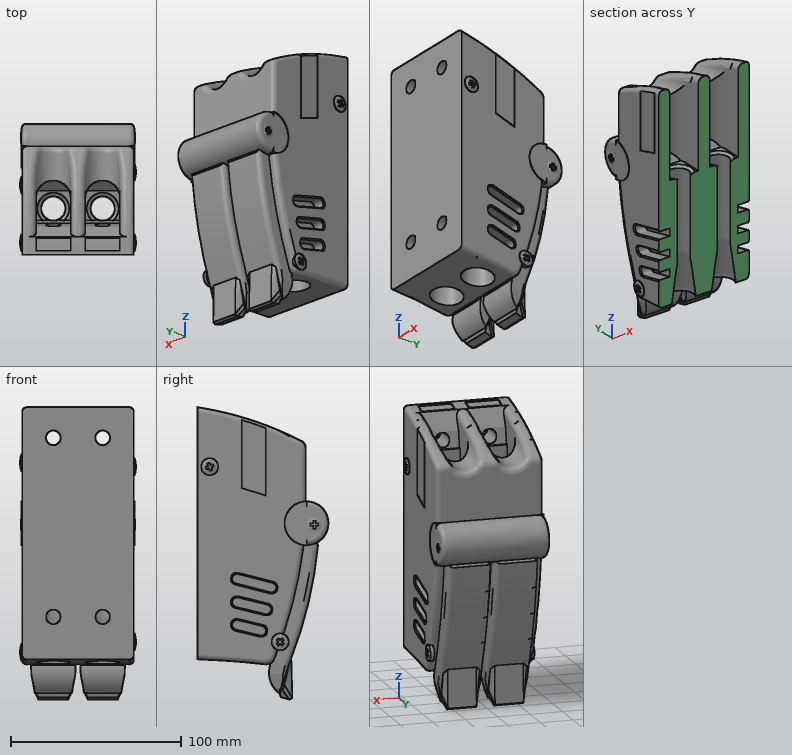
import cadquery as cq
import math

HALF_WIDTH = 32.9
HEIGHT = 148.3
OVERALL_HEIGHT = 171.91
TOP_FLAT_END = (5.0, 147.4)
TOP_ARC_MID = (34.0, 139.9)
TOP_FRONT = (63.7, 127.0)
BOSS_CENTRE = (64.12, 80.0)
FRONT_ARC_MID = (54.2, 26.7)
BOTTOM_FRONT = (43.6, -3.4)
BOTTOM_ARC_MID = (20.0, -1.1)
TOP_CORNER_RADIUS = 5.0
BOTTOM_CORNER_RADIUS = 5.0
SIDE_ROUND = 2.9

BOSS_RADIUS = 12.9
BOSS_HALF_WIDTH = HALF_WIDTH + 0.3
BOSS_ROUND = 2.8

LANE_X = 14.5
LANE_WIDTH = 20.3
LANE_RIM_ROUND = 3.8
POCKET_FLOOR = 82.0
POCKET_BACK = 20.3
POCKET_ROUND_Y = 33.5
FLOOR_FRONT = 37.8
RAMP_START = 125.0
RAMP_FOOT_Y = 18.6
RAMP_KNEE = (16.6, 135.0)
RAMP_TOP_Y = 9.7
TROUGH_FALL = 5.0
TROUGH_MOUTH = (62.0, 122.3)
BORE_Y = 27.2
BORE_DIAMETER = 14.1
BORE_MOUTH = 18.7
BORE_MOUTH_DEPTH = 1.2
BORE_EXIT = 20.0
FLARE_START = 25.0
LABEL_REAR = 2.4
LABEL_FRONT = 9.7
LABEL_DEPTH = 0.3

MOUNT_DIAMETER = 8.5
MOUNT_LOW = FLARE_START
MOUNT_HIGH = 130.2

LEVER_HALF_WIDTH = 13.3
LEVER_TIP_Z = HEIGHT - OVERALL_HEIGHT
LEVER_TOP = (70.9, 67.0)
LEVER_MID = (65.0, 32.0)
LEVER_KNEE = (55.2, 1.0)
LEVER_BLADE_END = (48.3, -20.0)
LEVER_BELLY = (43.9, -15.2)
LEVER_HEEL = (42.6, -3.5)
LEVER_ROOT = (37.0, 6.0)
LEVER_TAPER = [(13.0, -8.7), (11.6, -16.0), (10.2, LEVER_TIP_Z)]
GRIP_HALF_WIDTH = 8.8
GRIP_SIDE_HALF_WIDTH = 11.3
GRIP_INNER = [(46.0, -12.0), (51.0, 3.0)]
GRIP_MIDDLE = [(55.2, 1.0), (55.8, -22.6), (54.0, LEVER_TIP_Z), (48.9, -22.2)] + GRIP_INNER
GRIP_SIDE = [(54.6, 0.0), (51.0, -15.0), (50.0, -18.0), (48.5, -18.5)] + GRIP_INNER
LEVER_ROUND = 3.0

SCREW_DIAMETER = 10.0
SCREW_CROWN = 34.15
SCREW_RIM_DROP = 0.9
SCREW_SEAT = 2.0
CROSS_LENGTH = 4.6
CROSS_WIDTH = 1.5
CROSS_DEPTH = 1.2
PIVOT_SCREW = (68.7, 79.2)
PIVOT_SCREW_CROWN = BOSS_HALF_WIDTH + 0.6
LOW_SCREW_TURN = 45
HIGH_SCREW_TURN = 20
LEFT_SCREWS = [((7.2, 115.5), HIGH_SCREW_TURN), ((41.0, 4.2), LOW_SCREW_TURN)]
RIGHT_SCREWS = [((7.2, 113.2), HIGH_SCREW_TURN), ((48.6, 10.3), LOW_SCREW_TURN)]
SLOTS = [
    ((43.5, 42.2), (23.2, 47.4)),
    ((40.5, 29.4), (23.2, 33.6)),
    ((37.5, 16.8), (23.2, 20.3)),
]
SLOT_RIM_WIDTH = 7.2
SLOT_WIDTH = 5.6
SLOT_DEPTH = 8.0
PANEL_REAR = (25.9, 100.7)
PANEL_FRONT = (40.1, 96.3)
PANEL_DEPTH = 0.25


def side_plane(x):
    """Sketch plane with local (x, y) = (Y, Z) and the normal along +X."""
    return cq.Workplane("YZ", origin=(x, 0, 0))


def housing():
    profile = (
        side_plane(-HALF_WIDTH)
        .moveTo(0, 0)
        .lineTo(0, HEIGHT)
        .lineTo(*TOP_FLAT_END)
        .threePointArc(TOP_ARC_MID, TOP_FRONT)
        .lineTo(TOP_FRONT[0], BOSS_CENTRE[1])
        .threePointArc(FRONT_ARC_MID, BOTTOM_FRONT)
        .threePointArc(BOTTOM_ARC_MID, (0, 0))
        .close()
        .extrude(2 * HALF_WIDTH)
    )
    top_corner = cq.selectors.NearestToPointSelector((0, *TOP_FRONT))
    bottom_corner = cq.selectors.NearestToPointSelector((0, *BOTTOM_FRONT))
    profile = profile.edges(top_corner).fillet(TOP_CORNER_RADIUS)
    profile = profile.edges(bottom_corner).fillet(BOTTOM_CORNER_RADIUS)
    rims = profile.faces("<X or >X").edges().filter(lambda e: e.Center().y > 0.1)
    return rims.fillet(SIDE_ROUND)


def pivot_boss():
    """Cross bar with rounded ends; its half inside the housing outline keeps a sharp rim."""
    bar = side_plane(-BOSS_HALF_WIDTH).center(*BOSS_CENTRE).circle(BOSS_RADIUS)
    bar = bar.extrude(2 * BOSS_HALF_WIDTH)
    rear_half = bar.intersect(
        cq.Workplane("XY")
        .box(4 * HALF_WIDTH, BOSS_RADIUS, 4 * BOSS_RADIUS)
        .translate((0, BOSS_CENTRE[0] - BOSS_RADIUS / 2, BOSS_CENTRE[1]))
    )
    return bar.faces("<X or >X").edges().fillet(BOSS_ROUND).union(rear_half)


def rope_pocket(x):
    """Pocket above the bore: half-round in front, with a ramp towards the mounting face."""
    radius = LANE_WIDTH / 2
    reach = POCKET_ROUND_Y + LANE_WIDTH
    side = (
        side_plane(x - radius)
        .moveTo(POCKET_BACK, POCKET_FLOOR)
        .lineTo(POCKET_BACK, RAMP_START)
        .lineTo(RAMP_FOOT_Y, RAMP_START)
        .lineTo(*RAMP_KNEE)
        .lineTo(RAMP_TOP_Y, HEIGHT)
        .lineTo(reach, HEIGHT)
        .lineTo(reach, POCKET_FLOOR + reach - FLOOR_FRONT)
        .lineTo(FLOOR_FRONT, POCKET_FLOOR)
        .close()
        .extrude(LANE_WIDTH)
    )
    plan = (
        cq.Workplane("XY", origin=(x, POCKET_ROUND_Y, 0))
        .moveTo(-radius, 0)
        .threePointArc((0, radius), (radius, 0))
        .lineTo(radius, -POCKET_ROUND_Y)
        .lineTo(-radius, -POCKET_ROUND_Y)
        .close()
        .extrude(HEIGHT)
    )
    return side.intersect(plan)


def rope_trough(x):
    """U-shaped trough that falls from the pocket to the front face."""
    radius = LANE_WIDTH / 2
    fall = math.radians(TROUGH_FALL)
    axis = (0, math.cos(fall), -math.sin(fall))
    section = cq.Workplane(cq.Plane((x, *TROUGH_MOUTH), (-1, 0, 0), axis))
    trough = (
        section.moveTo(-radius, radius)
        .threePointArc((0, 0), (radius, radius))
        .lineTo(radius, HEIGHT)
        .lineTo(-radius, HEIGHT)
        .close()
        .extrude(HALF_WIDTH, both=True)
    )
    front = cq.Workplane("XY").box(HEIGHT, HEIGHT, HEIGHT, centered=(True, False, True))
    return trough.intersect(front.translate((x, POCKET_ROUND_Y, HEIGHT)))


def is_lane_rim(edge):
    """True for the outer edges of the lanes, except the one at the top of the ramp."""
    box = edge.BoundingBox()
    inside = abs(edge.Center().x) < LANE_X + LANE_WIDTH / 2 + 0.1
    beyond_lip = box.ymax > POCKET_ROUND_Y + LANE_WIDTH / 2 + 0.5
    return inside and beyond_lip and edge.geomType() != "LINE" and box.zmax > TROUGH_MOUTH[1]


def rope_bore(x):
    """Round bore from the pocket floor to the flared exit underneath."""
    radius = BORE_DIAMETER / 2
    return (
        cq.Workplane("XZ", origin=(x, BORE_Y, 0))
        .moveTo(0, POCKET_FLOOR)
        .lineTo(BORE_MOUTH / 2, POCKET_FLOOR)
        .lineTo(radius, POCKET_FLOOR - BORE_MOUTH_DEPTH)
        .lineTo(radius, FLARE_START)
        .lineTo(BORE_EXIT / 2, 0)
        .lineTo(BORE_EXIT / 2, BOTTOM_FRONT[1])
        .lineTo(0, BOTTOM_FRONT[1])
        .close()
        .revolve(360, (0, 0, 0), (0, 1, 0))
    )


def mounting_hole(x, z):
    hole = cq.Workplane("XZ", origin=(x, 0, z)).circle(MOUNT_DIAMETER / 2)
    return hole.extrude(-BORE_Y)


def label_recess(x, body):
    """Shallow rectangle that follows the curved top next to the mounting face."""
    column = cq.Workplane("XY").box(
        LANE_WIDTH, LABEL_FRONT - LABEL_REAR, 2 * (HEIGHT - RAMP_START)
    )
    column = column.translate((x, (LABEL_FRONT + LABEL_REAR) / 2, HEIGHT))
    return column.cut(body.translate((0, 0, -LABEL_DEPTH)))


def lever_grip(x):
    """Finger grip at the lever tip, thinning out towards both sides."""
    grip = side_plane(x - GRIP_HALF_WIDTH).polyline(GRIP_MIDDLE).close()
    grip = grip.extrude(2 * GRIP_HALF_WIDTH)
    flank = (
        side_plane(x + GRIP_HALF_WIDTH)
        .polyline(GRIP_MIDDLE)
        .close()
        .workplane(offset=GRIP_SIDE_HALF_WIDTH - GRIP_HALF_WIDTH)
        .polyline(GRIP_SIDE)
        .close()
        .loft(ruled=True)
    )
    return grip.union(flank).union(flank.mirror("YZ", (x, 0, 0)))


def lever(x):
    """Curved blade below the pivot, tapered towards the tip and carrying the grip."""
    blade = (
        side_plane(x - LEVER_HALF_WIDTH)
        .moveTo(*LEVER_TOP)
        .threePointArc(LEVER_MID, LEVER_KNEE)
        .lineTo(*LEVER_BLADE_END)
        .threePointArc(LEVER_BELLY, LEVER_HEEL)
        .lineTo(*LEVER_ROOT)
        .lineTo(*BOSS_CENTRE)
        .close()
        .extrude(2 * LEVER_HALF_WIDTH)
    )
    outer_face = blade.faces(cq.selectors.NearestToPointSelector((x, *LEVER_MID)))
    blade = outer_face.edges("%CIRCLE").fillet(LEVER_ROUND)
    right = [(LEVER_HALF_WIDTH, HEIGHT), (LEVER_HALF_WIDTH, 0)] + LEVER_TAPER
    left = [(-px, pz) for px, pz in reversed(right)]
    outline = cq.Workplane("XZ", origin=(x, 0, 0)).polyline(right + left).close()
    return blade.intersect(outline.extrude(-HEIGHT)).union(lever_grip(x))


def screw_head(place, crown, turn):
    """Domed head with a cross recess, on the +X side; place is its (Y, Z) centre."""
    radius = SCREW_DIAMETER / 2
    seat = HALF_WIDTH - SCREW_SEAT
    rim = crown - SCREW_RIM_DROP
    bulge = 0.75 * SCREW_RIM_DROP
    head = (
        cq.Workplane("XY")
        .moveTo(seat, 0)
        .lineTo(seat, radius)
        .lineTo(rim, radius)
        .threePointArc((rim + bulge, radius / 2), (crown, 0))
        .close()
        .revolve(360, (0, 0, 0), (1, 0, 0))
    )
    for angle in (turn, turn + 90):
        arm = cq.Workplane("XY").box(2 * CROSS_DEPTH, CROSS_LENGTH, CROSS_WIDTH)
        arm = arm.rotate((0, 0, 0), (1, 0, 0), angle)
        head = head.cut(arm.translate((crown, 0, 0)))
    return head.translate((0, *place))


def side_slot(front, rear):
    """Blind slot with a flared rim, cut from the -X side."""
    rise = front[1] - rear[1]
    run = front[0] - rear[0]
    middle = ((front[0] + rear[0]) / 2, (front[1] + rear[1]) / 2)
    length = math.hypot(run, rise)
    angle = math.degrees(math.atan2(rise, run))
    flare = (SLOT_RIM_WIDTH - SLOT_WIDTH) / 2
    face = side_plane(-HALF_WIDTH).center(*middle)
    rim = face.slot2D(length + SLOT_RIM_WIDTH, SLOT_RIM_WIDTH, angle).extrude(flare, taper=45)
    return rim.union(face.slot2D(length + SLOT_WIDTH, SLOT_WIDTH, angle).extrude(SLOT_DEPTH))


def side_panel():
    """Shallow step in the -X side that runs out over the top edge."""
    corners = [PANEL_REAR, PANEL_FRONT, (PANEL_FRONT[0], HEIGHT), (PANEL_REAR[0], HEIGHT)]
    return side_plane(-HALF_WIDTH).polyline(corners).close().extrude(PANEL_DEPTH)


part = housing()
blank = part
lanes = (-LANE_X, LANE_X)
for x in lanes:
    part = part.cut(rope_pocket(x).union(rope_trough(x)))
part = part.edges().filter(is_lane_rim).fillet(LANE_RIM_ROUND)
for x in lanes:
    part = part.cut(rope_bore(x)).cut(label_recess(x, blank))
    for z in (MOUNT_LOW, MOUNT_HIGH):
        part = part.cut(mounting_hole(x, z))

side_cuts = [side_slot(front, rear) for front, rear in SLOTS] + [side_panel()]
for cutter in side_cuts:
    part = part.cut(cutter).cut(cutter.mirror("YZ"))

part = part.union(pivot_boss())
for x in lanes:
    part = part.union(lever(x))

pivot_screw = screw_head(PIVOT_SCREW, PIVOT_SCREW_CROWN, 0)
part = part.union(pivot_screw).union(pivot_screw.mirror("YZ"))
for place, turn in RIGHT_SCREWS:
    part = part.union(screw_head(place, SCREW_CROWN, turn))
for place, turn in LEFT_SCREWS:
    part = part.union(screw_head(place, SCREW_CROWN, turn).mirror("YZ"))

result = part